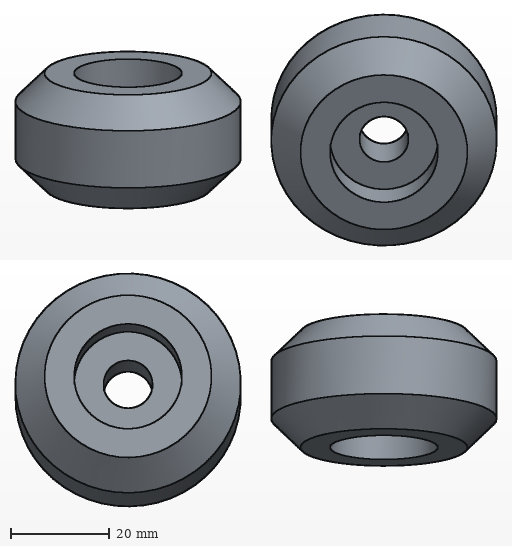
import cadquery as cq

outer_diameter = 46.0
width = 24.0
bevel = 6.0
bearing_diameter = 22.0
bearing_depth = 7.0
bore_diameter = 10.0

body = cq.Workplane("XY").circle(outer_diameter / 2).extrude(width)
body = body.faces("<Z or >Z").edges().chamfer(bevel)


def bearing_seat(bottom):
    """Cylinder that clears one bearing seat, starting at height bottom."""
    seat = cq.Workplane("XY").workplane(offset=bottom)
    return seat.circle(bearing_diameter / 2).extrude(bearing_depth)


for seat_bottom in (0, width - bearing_depth):
    body = body.cut(bearing_seat(seat_bottom))

bore = cq.Workplane("XY").circle(bore_diameter / 2).extrude(width)
result = body.cut(bore)